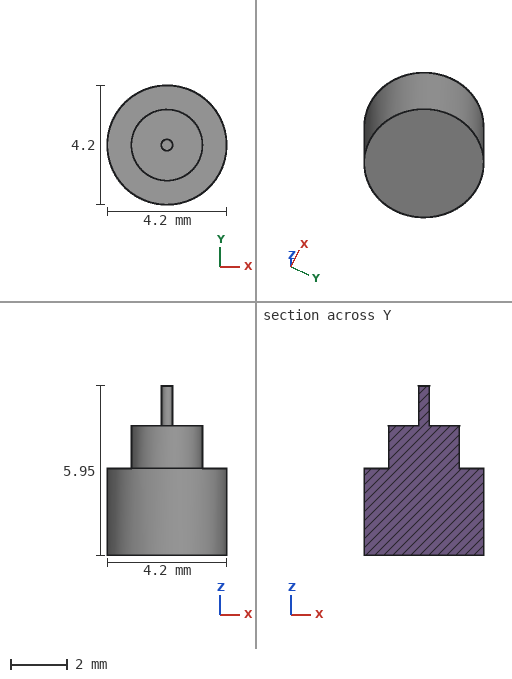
import cadquery as cq

total_height = 5.95
body_diameter = 4.2
body_height = 3.05
neck_diameter = 2.5
neck_height = 1.5
pin_diameter = 0.4
pin_height = total_height - body_height - neck_height


def add_cylinder(part, diameter, height):
    """Stack a coaxial cylinder on the top face of the part."""
    return part.faces(">Z").workplane().circle(diameter / 2).extrude(height)


body = cq.Workplane("XY").circle(body_diameter / 2).extrude(body_height)

body_with_neck = add_cylinder(body, neck_diameter, neck_height)
result = add_cylinder(body_with_neck, pin_diameter, pin_height)